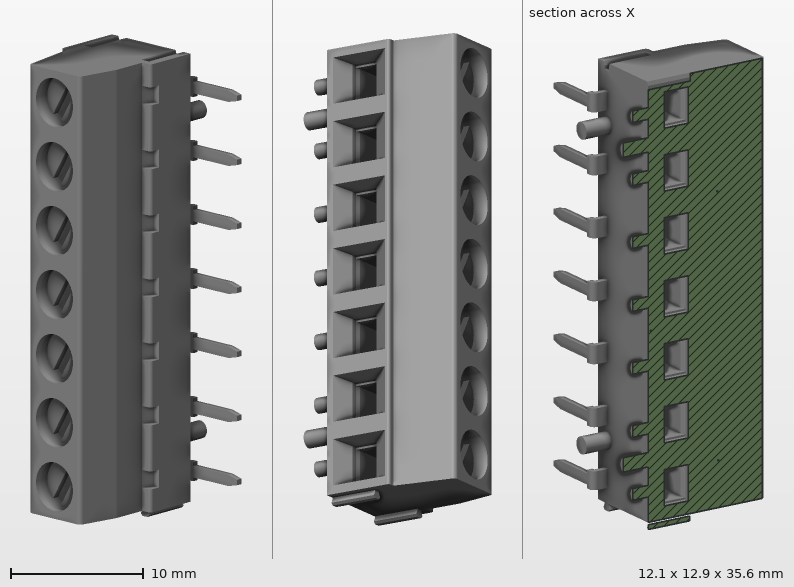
import cadquery as cq

POLES = 7
HEIGHT = 35.0
PITCH = HEIGHT / POLES
OVERLAP = 0.18

WIDTH = 8.1
DEPTH = 10.6
WIRE_SHELF_Y = 5.02
WIRE_SHELF_X = 0.57
SCREW_FACE_LEFT = 1.4
SCREW_FACE_RIGHT = 6.62
PIN_SHELF_Y = 6.2
PIN_SHELF_X = 7.25
PIN_SIDE_TAPER_Y = 3.35
SCREW_FACE_ROUND = 0.35
WIRE_SHELF_ROUND = 0.2
WIRE_SHELF_INNER_ROUND = 0.15
PIN_SHELF_ROUND = 0.3

SCREW_X = (SCREW_FACE_LEFT + SCREW_FACE_RIGHT) / 2
SCREW_DIAMETER = 3.8
SCREW_RECESS = 1.25
SLOT_WIDTH = 0.9
SLOT_DEPTH = 0.55
SLOT_ANGLE = 60

MOUTH_Y, MOUTH_WIDTH, MOUTH_HEIGHT = 7.73, 4.63, 3.63
THROAT_Y, THROAT_WIDTH, THROAT_HEIGHT = 8.05, 2.15, 2.85
CLAMP_Y, CLAMP_WIDTH, CLAMP_HEIGHT = 8.08, 1.8, 2.53
FUNNEL_DEPTH = 1.28
THROAT_DEPTH = 0.45
CLAMP_TAPER = 0.35
CLAMP_DEPTH = 2.85

NOTCH_HEIGHT = 1.4
NOTCH_DEPTH = 0.93
NOTCH_RAMP = 0.35

PEG_COLUMNS = (1.0, 6.98)
PEG_DIAMETER = 1.4
PEG_LENGTH = 2.28
POST_DIAMETER = 1.2
POST_LENGTH = 1.42
PIN_THICKNESS = 0.45
PIN_LEG_X = 6.75
PIN_LEG_WIDTH = 1.5
PIN_TIP_X = 12.05
PIN_BLADE_X = 7.48
PIN_WIDTH = 0.9
PIN_TAPER = 0.9
PIN_TIP_WIDTH = 0.43
PIN_DROP = 0.45

JOINT_COLUMNS = (1.07, 6.98)
JOINT_LENGTH = 3.8
TONGUE_HEIGHT = 0.6
TONGUE_WIDTH = 0.85
TONGUE_NECK = 0.57
TONGUE_NECK_DEPTH = 0.15
TONGUE_BEVEL = 0.18
GROOVE_WIDTH = 0.82
GROOVE_NARROW = 0.6
GROOVE_BEVEL = 0.32
GROOVE_DEPTH = TONGUE_HEIGHT

POLE_HEIGHTS = [PITCH * (pole + 0.5) for pole in range(POLES)]


def box(x_range, y_range, z_range):
    """Axis-aligned block between the given limits."""
    (x0, x1), (y0, y1), (z0, z1) = x_range, y_range, z_range
    return cq.Workplane("XY").box(x1 - x0, y1 - y0, z1 - z0, centered=False).translate((x0, y0, z0))


def rod(x, z, diameter, length):
    """Round rod standing on the mounting face."""
    plane = cq.Workplane("XZ", origin=(x, DEPTH - OVERLAP, z))
    return plane.circle(diameter / 2).extrude(-(length + OVERLAP))


def make_housing():
    outline = [
        (SCREW_FACE_LEFT, 0),
        (SCREW_FACE_RIGHT, 0),
        (PIN_SHELF_X, PIN_SIDE_TAPER_Y),
        (PIN_SHELF_X, PIN_SHELF_Y),
        (WIDTH, PIN_SHELF_Y),
        (WIDTH, DEPTH),
        (0, DEPTH),
        (0, WIRE_SHELF_Y),
        (WIRE_SHELF_X, WIRE_SHELF_Y),
    ]
    rounds = [
        ((SCREW_FACE_LEFT, 0), SCREW_FACE_ROUND),
        ((SCREW_FACE_RIGHT, 0), SCREW_FACE_ROUND),
        ((0, WIRE_SHELF_Y), WIRE_SHELF_ROUND),
        ((WIRE_SHELF_X, WIRE_SHELF_Y), WIRE_SHELF_INNER_ROUND),
        ((WIDTH, PIN_SHELF_Y), PIN_SHELF_ROUND),
    ]
    body = cq.Workplane("XY").polyline(outline).close().extrude(HEIGHT)
    for (x, y), radius in rounds:
        corner = cq.selectors.NearestToPointSelector((x, y, HEIGHT / 2))
        body = body.edges("|Z").edges(corner).fillet(radius)
    return body


def screw_cut(z):
    """Screw-head recess with the driver slot in its floor."""
    recess = cq.Workplane("XZ", origin=(SCREW_X, 0, z)).circle(SCREW_DIAMETER / 2)
    recess = recess.extrude(-SCREW_RECESS)
    floor = cq.Workplane("XZ", origin=(SCREW_X, SCREW_RECESS, z))
    head = floor.circle(SCREW_DIAMETER / 2).extrude(-SLOT_DEPTH)
    slot = floor.transformed(rotate=(0, 0, SLOT_ANGLE)).rect(SCREW_DIAMETER, SLOT_WIDTH)
    return recess.union(slot.extrude(-SLOT_DEPTH).intersect(head))


def wire_entry_cut(z):
    """Funnel narrowing to a straight throat, then tapering into a smaller clamp opening."""
    funnel = (
        cq.Workplane("YZ", origin=(0, MOUTH_Y, z))
        .rect(MOUTH_WIDTH, MOUTH_HEIGHT)
        .workplane(offset=FUNNEL_DEPTH)
        .center(THROAT_Y - MOUTH_Y, 0)
        .rect(THROAT_WIDTH, THROAT_HEIGHT)
        .loft(ruled=True)
    )
    inner = cq.Workplane("YZ", origin=(FUNNEL_DEPTH, THROAT_Y, z))
    throat = inner.rect(THROAT_WIDTH, THROAT_HEIGHT).extrude(THROAT_DEPTH)
    taper = (
        inner.workplane(offset=THROAT_DEPTH)
        .rect(THROAT_WIDTH, CLAMP_HEIGHT)
        .workplane(offset=CLAMP_TAPER)
        .center(CLAMP_Y - THROAT_Y, 0)
        .rect(CLAMP_WIDTH, CLAMP_HEIGHT)
        .loft(ruled=True)
    )
    clamp_x = FUNNEL_DEPTH + THROAT_DEPTH + CLAMP_TAPER
    clamp = cq.Workplane("YZ", origin=(clamp_x, CLAMP_Y, z)).rect(CLAMP_WIDTH, CLAMP_HEIGHT)
    clamp = clamp.extrude(CLAMP_DEPTH)
    return funnel.union(throat).union(taper).union(clamp)


def notch_cut(z):
    """Notch in the +X shelf with a ramped inner wall, open to the +X side."""
    profile = [
        (PIN_SHELF_X, PIN_SHELF_Y),
        (WIDTH, PIN_SHELF_Y),
        (WIDTH, PIN_SHELF_Y + NOTCH_DEPTH),
        (PIN_SHELF_X + NOTCH_RAMP, PIN_SHELF_Y + NOTCH_DEPTH),
    ]
    plane = cq.Workplane("XY", origin=(0, 0, z - NOTCH_HEIGHT / 2))
    return plane.polyline(profile).close().extrude(NOTCH_HEIGHT)


def make_pin(z):
    """Flat pin that leaves the mounting face, bends towards +X and tapers at its tip."""
    z = z - PIN_DROP
    top_y = DEPTH + POST_LENGTH
    half_leg = PIN_LEG_WIDTH / 2
    leg = box(
        (PIN_LEG_X, PIN_BLADE_X),
        (DEPTH - OVERLAP, top_y),
        (z - half_leg, z + half_leg),
    )
    inside = box(
        (PIN_LEG_X + PIN_THICKNESS, PIN_BLADE_X),
        (DEPTH - OVERLAP, top_y - PIN_THICKNESS),
        (z - half_leg, z + half_leg),
    )
    leg = leg.edges("|Z and <X and >Y").fillet(PIN_THICKNESS).cut(inside)
    taper_x = PIN_TIP_X - PIN_TAPER
    blade = (
        cq.Workplane("XZ", origin=(0, top_y, z))
        .moveTo(PIN_BLADE_X, -PIN_WIDTH / 2)
        .lineTo(taper_x, -PIN_WIDTH / 2)
        .lineTo(PIN_TIP_X, -PIN_TIP_WIDTH / 2)
        .lineTo(PIN_TIP_X, PIN_TIP_WIDTH / 2)
        .lineTo(taper_x, PIN_WIDTH / 2)
        .lineTo(PIN_BLADE_X, PIN_WIDTH / 2)
        .close()
        .extrude(PIN_THICKNESS)
    )
    return leg.union(blade)


def make_tongue(x):
    """Joining rail under the bottom end: a narrow neck and a wider bevelled head."""
    neck, half = TONGUE_NECK / 2, TONGUE_WIDTH / 2
    right_side = [
        (neck, OVERLAP),
        (neck, -TONGUE_NECK_DEPTH),
        (half, TONGUE_BEVEL - TONGUE_HEIGHT),
        (half - TONGUE_BEVEL, -TONGUE_HEIGHT),
    ]
    left_side = [(-dx, dz) for dx, dz in reversed(right_side)]
    profile = cq.Workplane("XZ", origin=(x, DEPTH, 0)).polyline(right_side + left_side).close()
    return profile.extrude(JOINT_LENGTH)


def groove_cut(x):
    """Joining groove in the top end with a bevelled mouth, open at the mounting face."""
    mouth, narrow = GROOVE_WIDTH / 2, GROOVE_NARROW / 2
    profile = [
        (-mouth, 0),
        (-narrow, -GROOVE_BEVEL),
        (-narrow, -GROOVE_DEPTH),
        (narrow, -GROOVE_DEPTH),
        (narrow, -GROOVE_BEVEL),
        (mouth, 0),
    ]
    return cq.Workplane("XZ", origin=(x, DEPTH, HEIGHT)).polyline(profile).close().extrude(JOINT_LENGTH)


result = make_housing()
for pole_z in POLE_HEIGHTS:
    result = result.cut(screw_cut(pole_z)).cut(wire_entry_cut(pole_z)).cut(notch_cut(pole_z))
    result = result.union(rod(PEG_COLUMNS[0], pole_z, POST_DIAMETER, POST_LENGTH))
    result = result.union(make_pin(pole_z))
for joint_x in JOINT_COLUMNS:
    result = result.cut(groove_cut(joint_x)).union(make_tongue(joint_x))
for peg_x in PEG_COLUMNS:
    for peg_z in (PITCH, HEIGHT - PITCH):
        result = result.union(rod(peg_x, peg_z, PEG_DIAMETER, PEG_LENGTH))